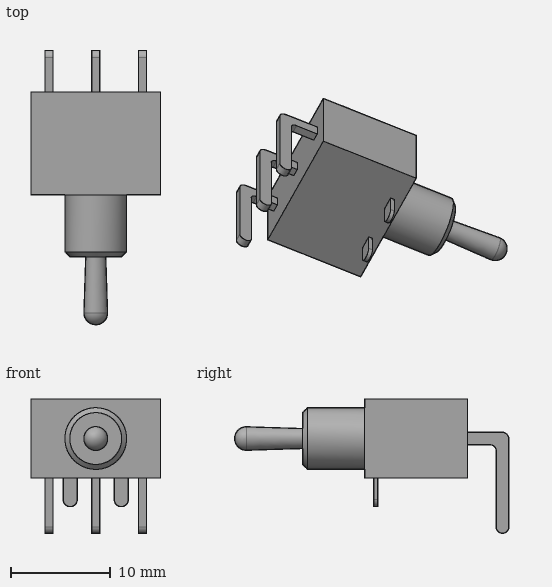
import cadquery as cq

overall_length = 27.5
overall_height = 13.48

body_width = 13.0
body_depth = 10.32
body_height = 7.95

bushing_diameter = 6.2
bushing_length = 6.22
bushing_chamfer = 0.5

lever_base_diameter = 2.04
lever_ball_diameter = 2.4

terminal_count = 3
terminal_pitch = 4.68
terminal_width = 0.83
terminal_thickness = 1.3
terminal_reach = 4.15
bend_outer_radius = 0.72
bend_inner_radius = 0.55

tab_spacing = 5.12
tab_width = 1.43
tab_thickness = 0.4
tab_length = 2.85
tab_front_offset = 0.9

bottom_of_body = -body_height / 2
bottom_of_terminals = body_height / 2 - overall_height
lever_tip_y = body_depth + terminal_reach - overall_length


def make_body():
    return cq.Workplane("XY").box(body_width, body_depth, body_height).translate((0, body_depth / 2, 0))


def make_bushing():
    bushing = cq.Workplane("XZ").circle(bushing_diameter / 2).extrude(bushing_length)
    return bushing.faces("<Y").chamfer(bushing_chamfer)


def make_lever():
    """Revolve a slightly flared shaft ending in a hemisphere."""
    ball_radius = lever_ball_diameter / 2
    ball_center_y = lever_tip_y + ball_radius
    diagonal = ball_radius / 2**0.5
    return (
        cq.Workplane("XY")
        .lineTo(lever_base_diameter / 2, 0)
        .lineTo(lever_base_diameter / 2, -bushing_length)
        .lineTo(ball_radius, ball_center_y)
        .threePointArc((diagonal, ball_center_y - diagonal), (0, lever_tip_y))
        .close()
        .revolve(360, (0, 0, 0), (0, 1, 0))
    )


def make_terminal(x):
    """L-shaped pin: straight back from the body, then down to a round tip."""
    half = terminal_thickness / 2
    back_y = body_depth + terminal_reach
    leg_front_y = back_y - terminal_thickness
    tip_start_z = bottom_of_terminals + half
    terminal = (
        cq.Workplane("YZ")
        .moveTo(body_depth, half)
        .lineTo(back_y, half)
        .lineTo(back_y, tip_start_z)
        .threePointArc((back_y - half, bottom_of_terminals), (leg_front_y, tip_start_z))
        .lineTo(leg_front_y, -half)
        .lineTo(body_depth, -half)
        .close()
        .extrude(terminal_width / 2, both=True)
    )
    outer_corner = cq.selectors.NearestToPointSelector((0, back_y, half))
    terminal = terminal.edges("|X").edges(outer_corner).fillet(bend_outer_radius)
    inner_corner = cq.selectors.NearestToPointSelector((0, leg_front_y, -half))
    terminal = terminal.edges("|X").edges(inner_corner).fillet(bend_inner_radius)
    return terminal.translate((x, 0, 0))


def make_tab(x):
    """Flat tab with a full round lower end."""
    half = tab_width / 2
    tip_z = bottom_of_body - tab_length
    return (
        cq.Workplane("XZ", origin=(x, tab_front_offset + tab_thickness, 0))
        .moveTo(-half, bottom_of_body)
        .lineTo(-half, tip_z + half)
        .threePointArc((0, tip_z), (half, tip_z + half))
        .lineTo(half, bottom_of_body)
        .close()
        .extrude(tab_thickness)
    )


result = make_body().union(make_bushing()).union(make_lever())
for index in range(terminal_count):
    terminal_x = (index - (terminal_count - 1) / 2) * terminal_pitch
    result = result.union(make_terminal(terminal_x))
for side in (-1, 1):
    result = result.union(make_tab(side * tab_spacing / 2))